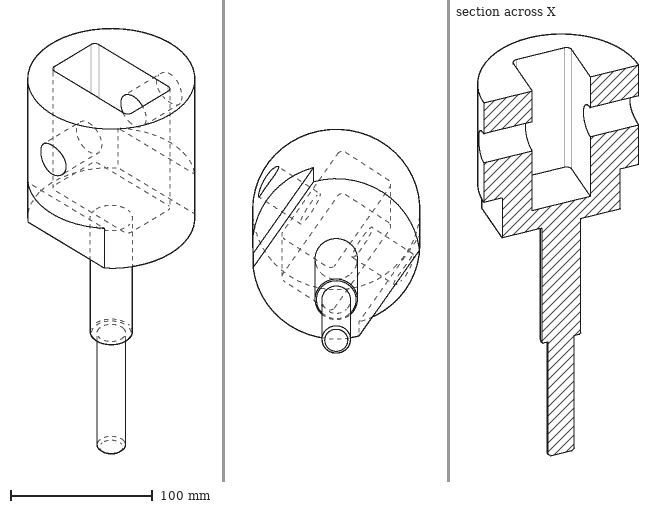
import cadquery as cq

total_height = 325.0
head_diameter = 118.0
head_height = 123.0

shank_diameter = 30.0
shank_length = 101.5
shank_chamfer = 1.0
pin_diameter = 20.0
pin_chamfer = 2.0

across_flats = 90.0
flat_height = 35.0

pocket_length = 77.0
pocket_width = 44.2
pocket_corner_radius = 4.0
floor_thickness = 18.0
pocket_depth = head_height - floor_thickness

cross_hole_diameter = 25.5
cross_hole_drop = 40.0

head_bottom = total_height - head_height
shank_bottom = head_bottom - shank_length


def make_head():
    head = cq.Workplane("XY").workplane(offset=head_bottom).circle(head_diameter / 2).extrude(head_height)
    for side in (-1, 1):
        flat_cutter = (
            cq.Workplane("XY")
            .box(head_diameter, head_diameter, flat_height, centered=(True, True, False))
            .translate((0, side * (across_flats + head_diameter) / 2, head_bottom))
        )
        head = head.cut(flat_cutter)
    return head


def make_rod(diameter, bottom, top, chamfer):
    rod = cq.Workplane("XY").workplane(offset=bottom).circle(diameter / 2).extrude(top - bottom)
    return rod.faces("<Z").chamfer(chamfer)


def make_pocket():
    return (
        cq.Workplane("XY")
        .workplane(offset=total_height - pocket_depth)
        .rect(pocket_length, pocket_width)
        .extrude(pocket_depth)
        .edges("|Z")
        .fillet(pocket_corner_radius)
    )


def make_cross_hole():
    return (
        cq.Workplane("XZ")
        .center(0, total_height - cross_hole_drop)
        .circle(cross_hole_diameter / 2)
        .extrude(head_diameter, both=True)
    )


shank = make_rod(shank_diameter, shank_bottom, head_bottom, shank_chamfer)
pin = make_rod(pin_diameter, 0, shank_bottom, pin_chamfer)
head = make_head().cut(make_pocket()).cut(make_cross_hole())
result = head.union(shank).union(pin)